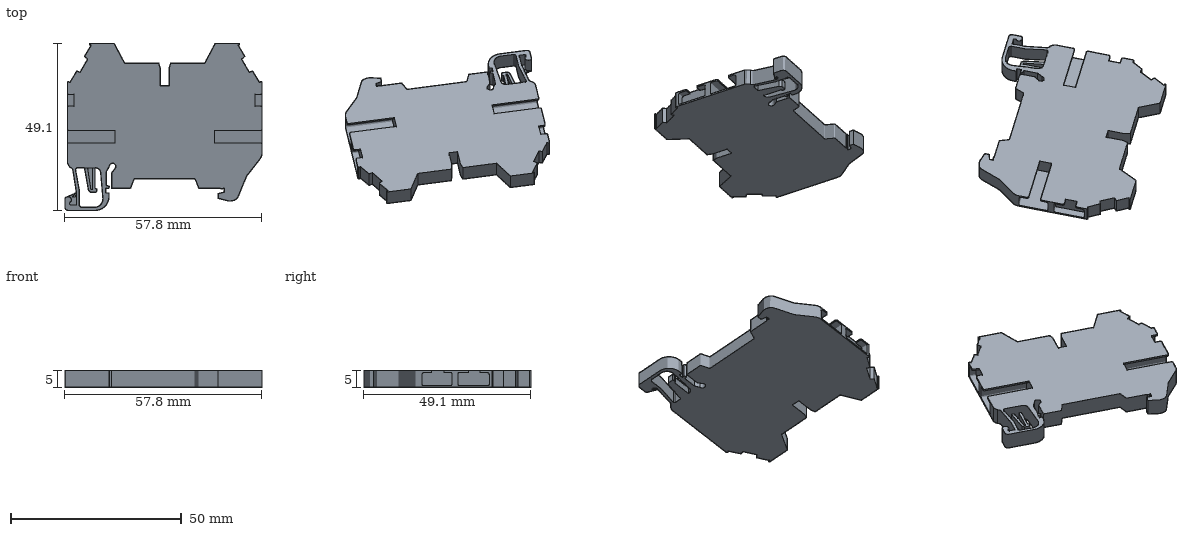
import cadquery as cq
import math

THICKNESS = 5.0
HEIGHT = 49.05
HALF_WIDTH = 28.55
FOOT_REACH = 29.25
BASE_WALL = 0.5

SHOULDER_Y = 43.25
TOP_SLOT_HALF_WIDTH = 1.3
TOP_SLOT_FLOOR_Y = 36.65

RAIL_SEAT_Y = 9.3
RAIL_SEAT_HALF_WIDTH = 8.9
LAND_HALF_WIDTH = 10.0
LAND_Y = 6.55
RAIL_CORNER_RADIUS = 0.3

POCKET_TOP_Z = 4.45
POCKET_RADIUS = 0.8
POCKET_SMALL_RADIUS = 0.4
UPPER_POCKET_Y = (27.65, 36.8)
UPPER_SLOT_Y = (30.65, 34.05)
UPPER_POCKET_DEPTH = 2.0
LOWER_POCKET_Y = (17.05, 25.8)
LOWER_SLOT_Y = (19.9, 23.5)
LOWER_POCKET_DEPTH = 14.0
SLOT_MOUTH_RADIUS = 0.5

WINDOW_TOP_Y = 12.5
WINDOW_FLOOR_Y = 1.0
NOTCH_RIGHT_X = -25.9
TONGUE_HEIGHT = 2.5

SHOULDER = [
    (TOP_SLOT_HALF_WIDTH, TOP_SLOT_FLOOR_Y),
    (TOP_SLOT_HALF_WIDTH, 41.75),
    (1.75, SHOULDER_Y),
    (11.75, SHOULDER_Y),
    (14.8, HEIGHT),
    (22.0, HEIGHT),
    (22.0, 48.65),
    (21.55, 48.5),
    (23.55, 45.2),
    (22.6, 44.4),
    (24.8, 40.6),
    (25.8, 40.95),
    (27.8, 37.6),
    (28.3, 37.9),
    (HALF_WIDTH, 37.65),
]


def mirrored(points):
    """Same points across X = 0, in reverse order so that the outline runs on."""
    return [(-x, y) for x, y in reversed(points)]


def line_through(sketch, points):
    for point in points:
        sketch = sketch.lineTo(*point)
    return sketch


def plate(sketch, height=THICKNESS):
    return sketch.close().extrude(height)


def housing():
    """Full outline: shoulders, rail hook, rail seat, slit and spring foot."""
    sketch = cq.Workplane().moveTo(*SHOULDER[0])
    sketch = line_through(sketch, SHOULDER[1:])

    sketch = sketch.lineTo(HALF_WIDTH, 16.55).threePointArc((28.3, 15.6), (27.7, 14.75))
    sketch = sketch.lineTo(24.5, 10.7).threePointArc((24.2, 10.3), (23.95, 9.85))
    sketch = sketch.lineTo(21.6, 4.2).threePointArc((21.05, 3.4), (20.2, 2.95))
    sketch = sketch.threePointArc((19.2, 2.8), (18.3, 2.9))
    sketch = line_through(sketch, [(15.7, 3.6), (15.7, 5.0), (17.4, 5.45), (17.4, LAND_Y)])
    sketch = line_through(sketch, [(17.2, LAND_Y), (17.0, 6.35), (16.5, 6.35), (16.3, LAND_Y)])

    sketch = line_through(sketch, [
        (LAND_HALF_WIDTH, LAND_Y),
        (RAIL_SEAT_HALF_WIDTH, RAIL_SEAT_Y),
        (-RAIL_SEAT_HALF_WIDTH, RAIL_SEAT_Y),
        (-LAND_HALF_WIDTH, LAND_Y),
        (-15.55, LAND_Y),
    ])

    sketch = line_through(sketch, [(-15.55, 11.05), (-14.5, 12.45)])
    sketch = sketch.threePointArc((-15.05, 13.8), (-16.2, 13.0))
    sketch = line_through(sketch, [(-17.05, 11.45), (-17.05, 7.4), (-16.15, 7.05), (-16.5, 6.4)])

    sketch = line_through(sketch, [(-17.25, LAND_Y), (-17.25, 5.2), (-16.3, 5.2), (-16.3, 3.8)])
    sketch = sketch.threePointArc((-17.6, 1.15), (-20.4, 0))
    sketch = sketch.lineTo(-28.3, 0).threePointArc((-29.0, 0.3), (-FOOT_REACH, 1.0))
    sketch = sketch.lineTo(-FOOT_REACH, 3.3).threePointArc((-29.1, 3.8), (-28.55, 4.05))

    sketch = line_through(sketch, [(NOTCH_RIGHT_X, 5.25), (-26.95, 11.8)])
    sketch = sketch.threePointArc((-27.2, 12.3), (-27.7, 12.6))
    sketch = sketch.threePointArc((-28.2, 13.3), (-HALF_WIDTH, 14.1))

    sketch = line_through(sketch, mirrored(SHOULDER))
    body = plate(sketch)
    for x, y in ((RAIL_SEAT_HALF_WIDTH, RAIL_SEAT_Y), (LAND_HALF_WIDTH, LAND_Y)):
        for side in (-1, 1):
            corner = cq.selectors.NearestToPointSelector((side * x, y, THICKNESS / 2))
            body = body.edges("|Z").edges(corner).fillet(RAIL_CORNER_RADIUS)
    return body


def foot_notch():
    """Recess between toe and leg; the bottom wall stays under it."""
    sketch = cq.Workplane(origin=(0, 0, BASE_WALL)).moveTo(NOTCH_RIGHT_X, 5.25)
    sketch = line_through(sketch, [(NOTCH_RIGHT_X, 1.6), (-27.6, 1.6)])
    sketch = sketch.threePointArc((-27.9, 1.95), (-27.7, 2.5))
    sketch = sketch.threePointArc((-27.35, 3.25), (-27.8, 3.9))
    sketch = sketch.threePointArc((-28.15, 4.05), (-28.55, 4.05))
    return plate(line_through(sketch, [(-28.55, 5.25)]))


def notch_drain():
    """Small opening through the bottom wall at the mouth of the notch."""
    corners = [(NOTCH_RIGHT_X, 5.05), (NOTCH_RIGHT_X, 4.55), (-26.35, 4.0), (-27.05, 4.0)]
    return plate(cq.Workplane().polyline(corners))


def foot_window():
    """Through opening that leaves the foot as a thin loop."""
    sketch = cq.Workplane().moveTo(-25.8, WINDOW_TOP_Y).lineTo(-20.1, WINDOW_TOP_Y)
    sketch = sketch.threePointArc((-19.2, 12.0), (-18.8, 11.05)).lineTo(-18.15, 3.7)
    sketch = sketch.threePointArc((-18.7, 1.9), (-20.35, WINDOW_FLOOR_Y))
    sketch = line_through(sketch, [(-24.5, WINDOW_FLOOR_Y), (-25.0, 1.45), (-25.0, 5.8), (-26.15, 12.15)])
    return plate(sketch)


def tongue():
    """Low grooved tongue that hangs from the top of the window."""
    root_y = WINDOW_TOP_Y + 0.6
    blade = [
        (-23.65, root_y), (-22.4, 6.0), (-21.8, 5.3), (-20.1, 5.3),
        (-19.9, 5.8), (-19.9, 6.3), (-20.4, 6.6), (-20.4, root_y),
    ]
    groove = [(-22.6, WINDOW_TOP_Y), (-21.6, 6.15), (-21.2, 6.15), (-21.2, WINDOW_TOP_Y)]
    body = plate(cq.Workplane().polyline(blade), TONGUE_HEIGHT)
    return body.cut(plate(cq.Workplane(origin=(0, 0, BASE_WALL)).polyline(groove)))


def side_pocket(pocket_y, slot_y, depth, outer_end, inner_end):
    """Cutter for a right-hand pocket with a narrower slot through the top face.

    outer_end and inner_end select the ends of the pocket away from and next to the other pocket.
    """
    inner_x = HALF_WIDTH - depth
    low_y, high_y = pocket_y
    chamber = cq.Workplane().box(depth, high_y - low_y, POCKET_TOP_Z - BASE_WALL, centered=False)
    chamber = chamber.translate((inner_x, low_y, BASE_WALL))
    chamber = chamber.edges("|X and <Z").fillet(POCKET_SMALL_RADIUS)
    chamber = chamber.edges(">Z and " + inner_end).fillet(POCKET_SMALL_RADIUS)
    chamber = chamber.edges(">Z and " + outer_end).fillet(POCKET_RADIUS)

    slot_low, slot_high = slot_y
    radius = SLOT_MOUTH_RADIUS
    bend = radius * (1 - math.sqrt(0.5))
    slot = (
        cq.Workplane(origin=(0, 0, (BASE_WALL + POCKET_TOP_Z) / 2))
        .moveTo(inner_x, slot_low)
        .lineTo(HALF_WIDTH - radius, slot_low)
        .threePointArc((HALF_WIDTH - bend, slot_low - bend), (HALF_WIDTH, slot_low - radius))
        .lineTo(HALF_WIDTH, slot_high + radius)
        .threePointArc((HALF_WIDTH - bend, slot_high + bend), (HALF_WIDTH - radius, slot_high))
        .lineTo(inner_x, slot_high)
    )
    return chamber.union(plate(slot))


result = housing().cut(foot_notch()).cut(notch_drain()).cut(foot_window()).union(tongue())

upper_pocket = side_pocket(UPPER_POCKET_Y, UPPER_SLOT_Y, UPPER_POCKET_DEPTH, ">Y", "<Y")
lower_pocket = side_pocket(LOWER_POCKET_Y, LOWER_SLOT_Y, LOWER_POCKET_DEPTH, "<Y", ">Y")
for pocket in (upper_pocket, lower_pocket):
    result = result.cut(pocket).cut(pocket.mirror("YZ"))